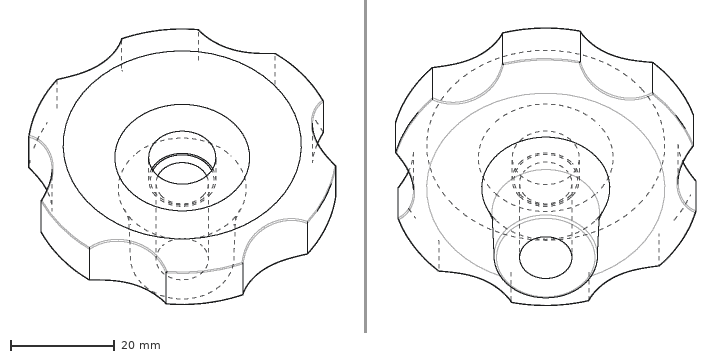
import cadquery as cq
import math

total_height = 36.0
head_height = 13.75
head_bottom = total_height - head_height

head_radius = 29.9
crown_radius = 23.0
shoulder_height = 1.85
head_edge_fillet = 0.3
selection_margin = 0.005

dish_depth = 4.0
dish_floor_radius = 13.05
dish_floor = total_height - dish_depth

scallop_count = 6
scallop_bottom = 25.6
scallop_corner_x = 28.8

neck_top_radius = 12.4
neck_bottom = 14.45
neck_bottom_radius = 10.4
foot_radius = 10.0
foot_fillet = 0.5
neck_sag = 0.2

bore_diameter = 10.1
counterbore_diameter = 13.0
counterbore_depth = 7.0
countersink_diameter = 12.25


def make_head():
    """Turned disc with rounded shoulders, scalloped and with softened rim edges."""
    run = head_radius - crown_radius
    arc_radius = (run**2 + shoulder_height**2) / (2 * shoulder_height)
    half_angle = math.asin(run / arc_radius) / 2
    mid_radius = crown_radius + arc_radius * math.sin(half_angle)
    mid_drop = arc_radius * (1 - math.cos(half_angle))
    disc = (
        cq.Workplane("XZ")
        .moveTo(0, head_bottom)
        .lineTo(crown_radius, head_bottom)
        .threePointArc((mid_radius, head_bottom + mid_drop), (head_radius, head_bottom + shoulder_height))
        .lineTo(head_radius, total_height - shoulder_height)
        .threePointArc((mid_radius, total_height - mid_drop), (crown_radius, total_height))
        .lineTo(0, total_height)
        .close()
        .revolve(360, (0, 0, 0), (0, 1, 0))
    )

    depth = scallop_corner_x - scallop_bottom
    half_width = math.sqrt(head_radius**2 - scallop_corner_x**2)
    scallop_radius = (half_width**2 + depth**2) / (2 * depth)
    scallops = (
        cq.Workplane("XY", origin=(0, 0, head_bottom))
        .polarArray(scallop_bottom + scallop_radius, 0, 360, scallop_count)
        .circle(scallop_radius)
        .extrude(head_height)
    )
    head = disc.cut(scallops)

    rim = cq.selectors.BoxSelector(
        (-head_radius, -head_radius, head_bottom + selection_margin),
        (head_radius, head_radius, total_height - selection_margin),
    )
    return head.edges(rim).edges("not(|Z)").fillet(head_edge_fillet)


def make_stem():
    """Tapered stem with a flared, slightly hollow neck below the head."""
    neck_mid = (
        (neck_top_radius + neck_bottom_radius) / 2 - neck_sag,
        (head_bottom + neck_bottom) / 2,
    )
    stem = (
        cq.Workplane("XZ")
        .lineTo(foot_radius, 0)
        .lineTo(neck_bottom_radius, neck_bottom)
        .threePointArc(neck_mid, (neck_top_radius, head_bottom))
        .lineTo(0, head_bottom)
        .close()
        .revolve(360, (0, 0, 0), (0, 1, 0))
    )
    return stem.faces("<Z").edges().fillet(foot_fillet)


def make_dish():
    """Conical hollow in the top of the head."""
    return (
        cq.Workplane("XZ")
        .moveTo(0, dish_floor)
        .lineTo(dish_floor_radius, dish_floor)
        .lineTo(crown_radius, total_height)
        .lineTo(0, total_height)
        .close()
        .revolve(360, (0, 0, 0), (0, 1, 0))
    )


def make_bore():
    """Through bore with a counterbore and a 45 degree countersink at its floor."""
    bore_radius = bore_diameter / 2
    countersink_radius = countersink_diameter / 2
    counterbore_radius = counterbore_diameter / 2
    ledge = dish_floor - counterbore_depth
    countersink_bottom = ledge - (countersink_radius - bore_radius)
    return (
        cq.Workplane("XZ")
        .lineTo(bore_radius, 0)
        .lineTo(bore_radius, countersink_bottom)
        .lineTo(countersink_radius, ledge)
        .lineTo(counterbore_radius, ledge)
        .lineTo(counterbore_radius, dish_floor)
        .lineTo(0, dish_floor)
        .close()
        .revolve(360, (0, 0, 0), (0, 1, 0))
    )


result = make_head().union(make_stem()).cut(make_dish()).cut(make_bore())